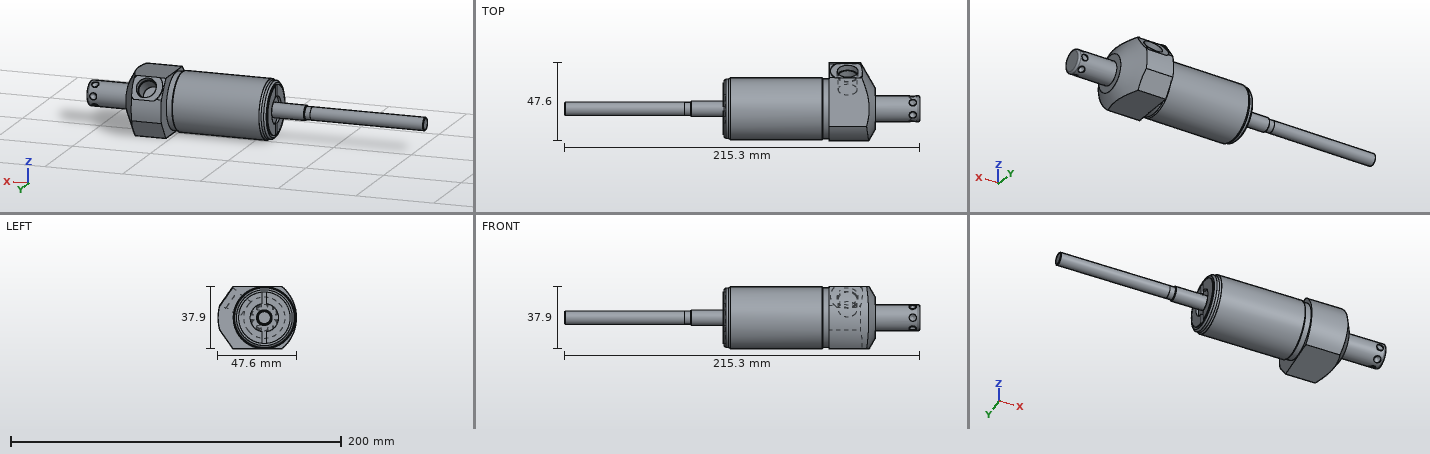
import cadquery as cq
import math


rod_step_x = 76.3
rod_relief_x = 72.8
cap_start_x = 95.9
sleeve_start_x = 100.5
sleeve_end_x = 156.0
head_start_x = 160.25
head_end_x = 188.3
total_length = 215.34

rod_radius = 4.15
rod_relief_depth = 0.05
rod_chamfer = 0.5
rod_shank_radius = 4.75
rod_shank_chamfer = 0.5

sleeve_radius = 18.9
cap_radius = 18.1
cap_plug_radius = 15.6
cap_ring_x = 96.5
cap_chamfer = 1.2
cap_flare_x = 99.3
cap_flare_rise = 0.55
neck_radius = 18.2
sleeve_end_chamfer = 0.7
recess_radius = 8.6
recess_depth = 1.5
slot_width = 2.6
slot_reach = 15.6

head_height = 37.85
head_width = 47.62
head_top_y = 28.1
head_flat_outer_y = 19.0
head_flat_inner_y = -10.6
facet_end_z = 7.4
facet_end_y = math.sqrt(head_top_y**2 - facet_end_z**2)
head_low_y = head_top_y - head_width
cone_face_radius = 12.5
cone_angle = 30.0

port_x = 171.5
spotface_radius = 10.4
spotface_depth = 0.4
port_radius = 6.3
port_depth = 4.0
bore_radius = 5.7
bore_depth = 14.0
port_overlap = 3.0

nozzle_radius = 7.95
nozzle_fillet = 1.3
jet_count = 6
jet_radius = 2.2
jet_straight_depth = 0.8
jet_tip_depth = 2.0
jet_x = 211.0
jet_overlap = 1.0


def cylinder(start_x, end_x, radius):
    """Cylinder on the X axis between two stations."""
    return cq.Workplane("YZ", origin=(start_x, 0, 0)).circle(radius).extrude(end_x - start_x)


def revolved(profile):
    """Full turn about the X axis of a closed (x, radius) outline."""
    return cq.Workplane("XY").polyline(profile).close().revolve(360, (0, 0, 0), (1, 0, 0))


def make_rod():
    """Slender rod, a shallow relief and a thicker shank that runs into the cap."""
    rod = cylinder(0, rod_relief_x, rod_radius).faces("<X").chamfer(rod_chamfer)
    relief = cylinder(rod_relief_x, rod_step_x, rod_radius - rod_relief_depth)
    shank = cylinder(rod_step_x, cap_start_x + recess_depth, rod_shank_radius)
    shank = shank.faces("<X").chamfer(rod_shank_chamfer)
    return rod.union(relief).union(shank)


def make_cap():
    """End cap with a raised plug and a shallow recess for a two-pin key."""
    profile = [
        (cap_start_x, 0),
        (cap_start_x, cap_plug_radius),
        (cap_ring_x, cap_plug_radius),
        (cap_ring_x, cap_radius - cap_chamfer),
        (cap_ring_x + cap_chamfer, cap_radius),
        (cap_flare_x, cap_radius),
        (sleeve_start_x, cap_radius + cap_flare_rise),
        (sleeve_start_x, 0),
    ]
    recess = cylinder(cap_start_x, cap_start_x + recess_depth, recess_radius)
    slot = cq.Workplane("YZ", origin=(cap_start_x, 0, 0)).rect(slot_width, 2 * slot_reach)
    slot = slot.extrude(recess_depth)
    return revolved(profile).cut(recess.union(slot))


def make_sleeve():
    """Main sleeve and the narrower neck that joins it to the head."""
    sleeve = cylinder(sleeve_start_x, sleeve_end_x + sleeve_end_chamfer, sleeve_radius)
    sleeve = sleeve.faces(">X").chamfer(sleeve_end_chamfer)
    return sleeve.union(cylinder(sleeve_end_x, head_start_x, neck_radius))


def make_head():
    """Flat-sided block with two slanted facets and a turned cone on its +X end."""
    half = head_height / 2
    head = (
        cq.Workplane("YZ", origin=(head_start_x, 0, 0))
        .moveTo(head_flat_inner_y, half)
        .lineTo(head_flat_outer_y, half)
        .lineTo(facet_end_y, facet_end_z)
        .threePointArc((head_top_y, 0), (facet_end_y, -facet_end_z))
        .lineTo(head_flat_outer_y, -half)
        .lineTo(head_flat_inner_y, -half)
        .threePointArc((head_low_y, 0), (head_flat_inner_y, half))
        .close()
        .extrude(head_end_x - head_start_x)
    )
    slope = math.tan(math.radians(cone_angle))
    base_radius = cone_face_radius + (head_end_x - head_start_x) / slope
    cone_profile = [
        (head_start_x, 0),
        (head_start_x, base_radius),
        (head_end_x, cone_face_radius),
        (head_end_x, 0),
    ]
    return head.intersect(revolved(cone_profile))


def make_port():
    """Spotfaced, stepped hole square to the upper facet."""
    run_y = facet_end_y - head_flat_outer_y
    drop_z = head_height / 2 - facet_end_z
    center = cq.Vector(port_x, head_flat_outer_y + run_y / 2, facet_end_z + drop_z / 2)
    inward = cq.Vector(0, -drop_z, -run_y).normalized()
    start = center - inward * port_overlap
    port = cq.Solid.makeCylinder(spotface_radius, port_overlap + spotface_depth, start, inward)
    port = port.fuse(cq.Solid.makeCylinder(port_radius, port_depth, center, inward))
    return port.fuse(cq.Solid.makeCylinder(bore_radius, bore_depth, center, inward))


def make_jet():
    """Blind hole with a conical bottom, entering the nozzle from +Z."""
    inward = cq.Vector(0, 0, -1)
    shoulder_z = nozzle_radius - jet_straight_depth
    mouth = cq.Vector(jet_x, 0, nozzle_radius + jet_overlap)
    straight = cq.Solid.makeCylinder(jet_radius, jet_straight_depth + jet_overlap, mouth, inward)
    tip = cq.Solid.makeCone(jet_radius, 0, jet_tip_depth, cq.Vector(jet_x, 0, shoulder_z), inward)
    return cq.Workplane(obj=straight.fuse(tip))


def make_nozzle():
    """Round-nosed nozzle with a ring of radial jets near its free end."""
    nozzle = cylinder(head_end_x, total_length, nozzle_radius).faces(">X").edges().fillet(nozzle_fillet)
    jet_pitch = 360 / jet_count
    for i in range(jet_count):
        angle = jet_pitch * (i + 0.5)
        nozzle = nozzle.cut(make_jet().rotate((0, 0, 0), (1, 0, 0), angle))
    return nozzle


head = make_head().cut(cq.Workplane(obj=make_port()))
result = make_cap().union(make_rod()).union(make_sleeve()).union(head).union(make_nozzle())